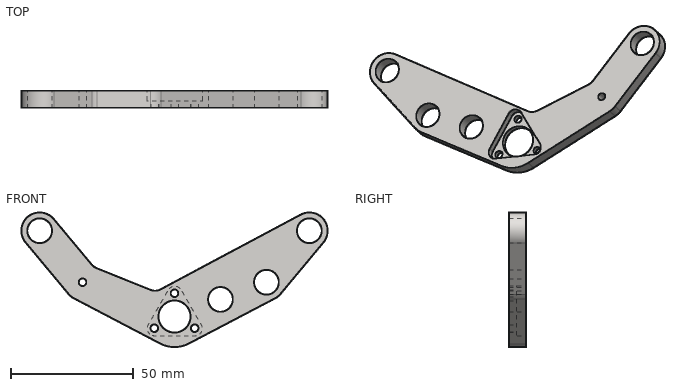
import cadquery as cq
import math

THICKNESS = 7.0
HUB = (0, 0)
HUB_RADIUS = 12.5
HUB_BORE = 13.0
RECESS_CORNER_RADIUS = 3.0
RECESS_DEPTH = 4.0
END_X = 55
END_Z = 35
ELBOW_X = 37.5
ELBOW_Z = 14.0
ARM_RADIUS = 7.5
INNER_FILLET = 5

ARM_HOLE = 10
SCREW_HOLE = 3.0
SCREW_CIRCLE_RADIUS = 9.5
SCREW_COUNT = 3
FIRST_SCREW_ANGLE = 90

LEFT_END = (-END_X, END_Z)
RIGHT_END = (END_X, END_Z)
LEFT_ELBOW = (-ELBOW_X, ELBOW_Z)
RIGHT_ELBOW = (ELBOW_X, ELBOW_Z)
ARM_MIDDLE = (ELBOW_X / 2, ELBOW_Z / 2)


def tangent(start, start_radius, end, end_radius):
    """Touch points of the line that keeps both circles on its left."""
    dx = end[0] - start[0]
    dz = end[1] - start[1]
    taper = math.asin((end_radius - start_radius) / math.hypot(dx, dz))
    normal = math.atan2(dz, dx) - math.pi / 2 - taper
    return [
        (center[0] + radius * math.cos(normal), center[1] + radius * math.sin(normal))
        for center, radius in ((start, start_radius), (end, end_radius))
    ]


def crossing(first, second):
    """Point where two lines, each given by two points, meet."""
    (ax, az), (bx, bz) = first
    (cx, cz), (dx, dz) = second
    ux, uz = bx - ax, bz - az
    vx, vz = dx - cx, dz - cz
    along = ((cx - ax) * vz - (cz - az) * vx) / (ux * vz - uz * vx)
    return (ax + along * ux, az + along * uz)


def arc_middle(center, radius, start, end):
    """Middle of the counterclockwise arc from start to end."""
    start_angle = math.atan2(start[1] - center[1], start[0] - center[0])
    end_angle = math.atan2(end[1] - center[1], end[0] - center[0])
    angle = start_angle + (end_angle - start_angle) % (2 * math.pi) / 2
    return (center[0] + radius * math.cos(angle), center[1] + radius * math.sin(angle))


def make_plate():
    outer_sides = [
        tangent(LEFT_END, ARM_RADIUS, LEFT_ELBOW, ARM_RADIUS),
        tangent(LEFT_ELBOW, ARM_RADIUS, HUB, HUB_RADIUS),
        tangent(HUB, HUB_RADIUS, RIGHT_ELBOW, ARM_RADIUS),
        tangent(RIGHT_ELBOW, ARM_RADIUS, RIGHT_END, ARM_RADIUS),
    ]
    right_top = tangent(RIGHT_END, ARM_RADIUS, HUB, HUB_RADIUS)
    left_inner = tangent(HUB, HUB_BORE / 2, LEFT_ELBOW, ARM_RADIUS)
    left_top = tangent(LEFT_ELBOW, ARM_RADIUS, LEFT_END, ARM_RADIUS)
    valley = crossing(right_top, left_inner)
    inner_elbow = crossing(left_inner, left_top)

    corners = [
        (LEFT_ELBOW, ARM_RADIUS),
        (HUB, HUB_RADIUS),
        (RIGHT_ELBOW, ARM_RADIUS),
        (RIGHT_END, ARM_RADIUS),
    ]
    following_starts = [side[0] for side in outer_sides[1:]] + [right_top[0]]
    outline = cq.Workplane("XZ").moveTo(*outer_sides[0][0])
    for (center, radius), side, arc_end in zip(corners, outer_sides, following_starts):
        outline = outline.lineTo(*side[1])
        middle = arc_middle(center, radius, side[1], arc_end)
        outline = outline.threePointArc(middle, arc_end)
    outline = outline.lineTo(*valley).lineTo(*inner_elbow).lineTo(*left_top[1])
    left_start = outer_sides[0][0]
    end_middle = arc_middle(LEFT_END, ARM_RADIUS, left_top[1], left_start)
    plate = outline.threePointArc(end_middle, left_start).close().extrude(THICKNESS)

    for x, z in (valley, inner_elbow):
        edge = cq.selectors.NearestToPointSelector((x, -THICKNESS / 2, z))
        plate = plate.edges("|Y").edges(edge).fillet(INNER_FILLET)
    return plate


def make_holes(points, diameter):
    return cq.Workplane("XZ").pushPoints(points).circle(diameter / 2).extrude(THICKNESS)


def make_recess(corner_centers):
    """Rounded triangular recess in the rear (+Y) face, around the hub screws."""
    triangle = cq.Workplane("XZ").polyline(corner_centers).close()
    return triangle.offset2D(RECESS_CORNER_RADIUS).extrude(RECESS_DEPTH)


screw_angles = [math.radians(FIRST_SCREW_ANGLE + i * 360 / SCREW_COUNT) for i in range(SCREW_COUNT)]
screw_points = [
    (SCREW_CIRCLE_RADIUS * math.cos(angle), SCREW_CIRCLE_RADIUS * math.sin(angle))
    for angle in screw_angles
]

result = make_plate()
result = result.cut(make_holes([HUB], HUB_BORE))
result = result.cut(make_recess(screw_points))
result = result.cut(make_holes([LEFT_END, RIGHT_END, ARM_MIDDLE, RIGHT_ELBOW], ARM_HOLE))
result = result.cut(make_holes(screw_points + [LEFT_ELBOW], SCREW_HOLE))